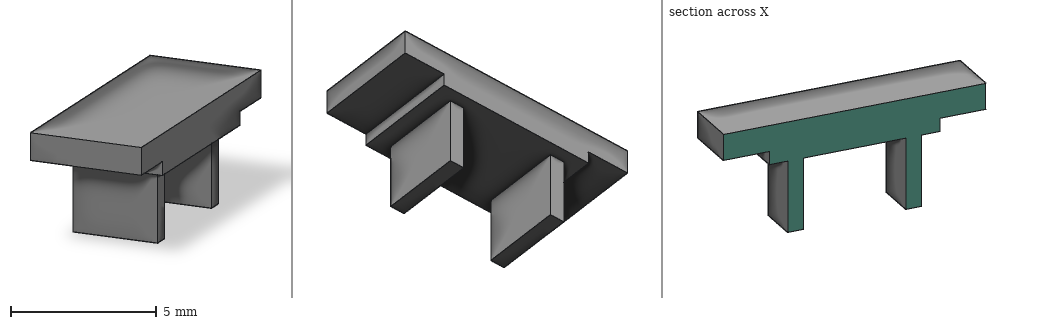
import cadquery as cq

plate_width = 4.2
plate_length = 10.0
plate_thickness = 1.0

step_length = 6.5
step_thickness = 0.5

leg_width = 3.2
leg_thickness = 0.6
leg_height = 2.7
leg_spacing = 4.5

step_bottom = leg_height
plate_bottom = step_bottom + step_thickness


def block(width, length, height, bottom, centre_y=0.0):
    """Box centred on X = 0 and on the given Y, standing on the given level."""
    return (
        cq.Workplane("XY", origin=(0, centre_y, bottom))
        .box(width, length, height, centered=(True, True, False))
    )


plate = block(plate_width, plate_length, plate_thickness, plate_bottom)
step = block(plate_width, step_length, step_thickness, step_bottom)

result = plate.union(step)
for side in (-1, 1):
    leg = block(leg_width, leg_thickness, leg_height, 0.0, side * leg_spacing / 2)
    result = result.union(leg)

result = result.clean()